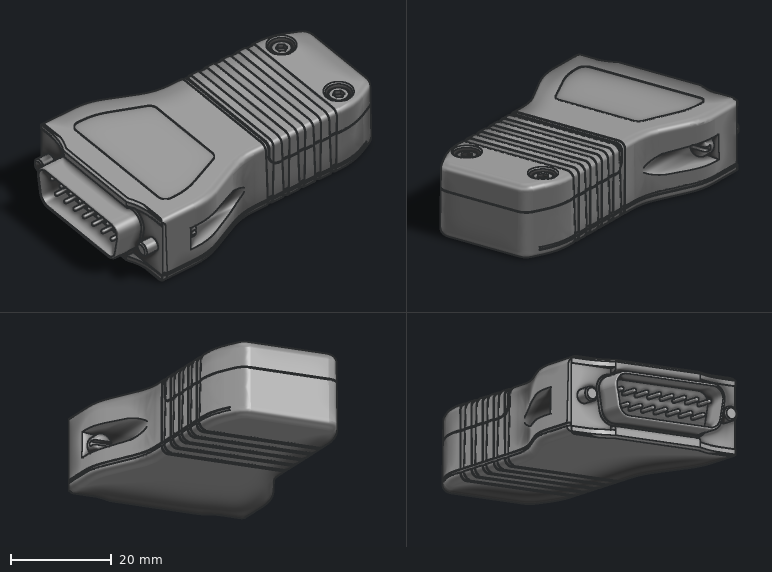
import cadquery as cq
import math

LENGTH = 66.4
HEIGHT = 16.0
TOP = HEIGHT / 2
HEAD_WIDTH = 40.0
HEAD_HALF_WIDTH = HEAD_WIDTH / 2
NECK_HALF_WIDTH = 14.1
BACK_HALF_WIDTH = 10.5
HEAD_SHOULDER_Y = 17.5
NECK_SHOULDER_Y = 30.25
BACK_SHOULDER_Y = 59.0
SHOULDER_RADIUS = 15.25
BACK_RADIUS = 3.0
EDGE_RADIUS = 1.6
DRAFT_ANGLE = 0.8

FACE_Y = 6.1
FACE_CHAMFER_WIDTH = 0.45
FACE_CHAMFER_LENGTH = 0.8
LIP_SIDE_Y = 5.9
LIP_CENTRE_Y = 4.3
LIP_HALF_WIDTH = 10.1
LIP_CURVE_HALF_WIDTH = 16.45
LIP_THICKNESS = 1.6
LIP_CENTRE_THICKNESS = 2.6
LIP_CHAMFER = 0.5
LIP_UNDERSIDE_RADIUS = 0.9
LIP_ROOT = 1.3

GRIP_DEPTH = 0.2
COVER_SEAM_Z = -6.0
COVER_SEAM_WIDTH = 0.65
COVER_SEAM_DEPTH = 0.4
COVER_SEAM_END_Y = 63.4
GRIP_COUNT = 5
GRIP_PITCH = 4.0
GRIP_FIRST_Y = 53.5
GRIP_TOP_WIDTH = 2.0
GRIP_BOTTOM_WIDTH = 1.2
LID_SEAM_Y = 37.5
LID_SEAM_Z = 2.25
LID_SEAM_RADIUS = 2.4
LID_SEAM_WIDTH = 0.2
LID_SEAM_DEPTH = 0.4

LABEL_DEPTH = 0.2
LABEL_FRONT_Y = 9.9
LABEL_SHOULDER_Y = 15.65
LABEL_BACK_Y = 26.9
LABEL_HALF_WIDTH = 15.05
LABEL_BACK_HALF_WIDTH = 10.15
LABEL_CORNER_RADIUS = 1.85
LABEL_SHOULDER_RADIUS = 14.6

CAP_X = 9.2
CAP_Y = 58.5
CAP_HOLE_DIAMETER = 5.45
CAP_HOLE_CHAMFER = 0.3
CAP_HOLE_CHAMFER_ANGLE = 45.0
CAP_HOLE_DEPTH = 2.0
CAP_DIAMETER = 4.5
CAP_RECESS = 0.65
CAP_CHAMFER = 0.25
HEX_CORNER_DIAMETER = 2.4
HEX_DEPTH = 1.0

JACK_X = 16.6
JACK_DIAMETER = 3.0
JACK_TIP_Y = 3.0
JACK_TIP_CHAMFER = 0.3
JACK_HEAD_DIAMETER = 4.4
JACK_HEAD_LENGTH = 2.7
JACK_HEAD_RADIUS = 0.8
JACK_SLOT_WIDTH = 1.0
JACK_SLOT_DEPTH = 1.5
POCKET_FRONT_Y = 12.9
POCKET_BACK_Y = 33.2
POCKET_RADIUS = 2.4
POCKET_MOUTH_HALF_HEIGHT = 2.7

SHELL_HALF_WIDTH = 13.15
SHELL_HEIGHT = 9.55
SHELL_SLANT = 10.0
SHELL_RADIUS = 2.85
SHELL_WALL = 0.5
SHELL_FLOOR_Y = 5.45
SHELL_TIP_RADIUS = 0.25
FLARE = 0.4
FLARE_LENGTH = 0.4
FLARE_BEVEL = 0.3

PIN_DIAMETER = 0.85
PIN_PITCH = 3.0
PIN_ROW_SPACING = 2.9
PIN_TIP_Y = 1.3
PIN_TIP_RADIUS = 0.3
UPPER_PINS = 8
LOWER_PINS = 7


def rounded_outline(corners, plane="XY"):
    """Closed outline through (x, y, radius) corners, each rounded by a tangent arc."""
    outline = None
    for i, (x, y, radius) in enumerate(corners):
        here = cq.Vector(x, y)
        before = (cq.Vector(*corners[i - 1][:2]) - here).normalized()
        after = (cq.Vector(*corners[(i + 1) % len(corners)][:2]) - here).normalized()
        half_angle = before.getAngle(after) / 2
        start = here + before * (radius / math.tan(half_angle))
        end = here + after * (radius / math.tan(half_angle))
        bisector = (before + after).normalized()
        middle = here + bisector * (radius / math.sin(half_angle) - radius)
        points = [(p.x, p.y) for p in (start, middle, end)]
        if outline is None:
            outline = cq.Workplane(plane).moveTo(*points[0])
        else:
            outline = outline.lineTo(*points[0])
        if radius > 0:
            outline = outline.threePointArc(points[1], points[2])
    return outline.close()


def mirrored(right_half):
    """Add the X-mirrored corners to a right half listed from front to back."""
    return right_half + [(-x, y, r) for x, y, r in reversed(right_half)]


def block(x_size, y_range, z_range):
    """Box centred on X that spans the given Y and Z ranges."""
    return cq.Workplane("XY").box(
        x_size, y_range[1] - y_range[0], z_range[1] - z_range[0], centered=(True, False, False)
    ).translate((0, y_range[0], z_range[0]))


def y_cylinder(diameter, start, end, x=0.0, z=0.0):
    """Cylinder along Y from start to end."""
    return cq.Workplane("XZ", origin=(x, start, z)).circle(diameter / 2).extrude(start - end)


def hood_blank(inset):
    """Rounded hood body with its whole skin moved inward by inset."""
    corners = mirrored([
        (HEAD_HALF_WIDTH - inset, 0.0, 0.0),
        (HEAD_HALF_WIDTH - inset, HEAD_SHOULDER_Y, SHOULDER_RADIUS - inset),
        (NECK_HALF_WIDTH - inset, NECK_SHOULDER_Y, SHOULDER_RADIUS + inset),
        (NECK_HALF_WIDTH - inset, BACK_SHOULDER_Y, SHOULDER_RADIUS - inset),
        (BACK_HALF_WIDTH - inset, LENGTH - inset, BACK_RADIUS),
    ])
    reach = TOP - inset
    upper = rounded_outline(corners).extrude(reach - COVER_SEAM_Z, taper=DRAFT_ANGLE)
    lower = rounded_outline(corners).extrude(-reach - COVER_SEAM_Z, taper=DRAFT_ANGLE)
    upper = upper.faces(">Z").edges().fillet(EDGE_RADIUS - inset)
    lower = lower.faces("<Z").edges().fillet(EDGE_RADIUS - inset)
    return upper.union(lower).translate((0, 0, COVER_SEAM_Z))


def lip_arc_middle():
    """Middle of the arc that leaves the straight lip side tangentially towards the bulge."""
    run = LIP_CURVE_HALF_WIDTH - LIP_HALF_WIDTH
    drop = LIP_SIDE_Y - LIP_CENTRE_Y
    radius = (run**2 + drop**2) / (2 * drop)
    half_angle = math.asin(run / radius) / 2
    return (
        LIP_CURVE_HALF_WIDTH - radius * math.sin(half_angle),
        LIP_SIDE_Y - radius * (1 - math.cos(half_angle)),
    )


def lip():
    """Lip along the upper front edge: thin at the sides, bulging and thicker in the middle."""
    corner_x = HEAD_HALF_WIDTH - FACE_CHAMFER_WIDTH
    root_y = FACE_Y + LIP_ROOT
    arc_middle_x, arc_middle_y = lip_arc_middle()
    shelf = (
        cq.Workplane("XY", origin=(0, 0, TOP))
        .moveTo(-corner_x, LIP_SIDE_Y)
        .lineTo(-LIP_CURVE_HALF_WIDTH, LIP_SIDE_Y)
        .threePointArc((-arc_middle_x, arc_middle_y), (-LIP_HALF_WIDTH, LIP_CENTRE_Y))
        .lineTo(LIP_HALF_WIDTH, LIP_CENTRE_Y)
        .threePointArc((arc_middle_x, arc_middle_y), (LIP_CURVE_HALF_WIDTH, LIP_SIDE_Y))
        .lineTo(corner_x, LIP_SIDE_Y)
        .lineTo(corner_x, root_y)
        .lineTo(-corner_x, root_y)
        .close()
        .extrude(-LIP_THICKNESS)
    )
    front_rim = cq.selectors.BoxSelector(
        (-HEAD_HALF_WIDTH, 0, TOP - LIP_CHAMFER), (HEAD_HALF_WIDTH, FACE_Y, TOP + LIP_CHAMFER)
    )
    shelf = shelf.faces(">Z").edges(front_rim).chamfer(LIP_CHAMFER)
    middle = block(
        2 * LIP_HALF_WIDTH,
        (LIP_CENTRE_Y, root_y),
        (TOP - LIP_CENTRE_THICKNESS, TOP - LIP_THICKNESS),
    )
    middle = middle.faces("<Y").edges("<Z").fillet(LIP_UNDERSIDE_RADIUS)
    return shelf.union(middle)


def front_mask():
    """Space that the hood may fill: everything behind the front face, plus both lips."""
    behind_face = mirrored([
        (HEAD_HALF_WIDTH - FACE_CHAMFER_WIDTH, FACE_Y, 0.0),
        (HEAD_HALF_WIDTH, FACE_Y + FACE_CHAMFER_LENGTH, 0.0),
        (HEAD_HALF_WIDTH, LENGTH, 0.0),
    ])
    mask = rounded_outline(behind_face).extrude(TOP, both=True)
    upper_lip = lip()
    return mask.union(upper_lip).union(upper_lip.mirror("XY"))


def grip_grooves():
    """Cutters across the neck, narrowing towards the underside."""
    cutters = cq.Workplane("YZ")
    for i in range(GRIP_COUNT):
        y = GRIP_FIRST_Y - i * GRIP_PITCH
        cutters = cutters.add(
            cq.Workplane("YZ")
            .polyline([
                (y - GRIP_TOP_WIDTH / 2, TOP),
                (y + GRIP_TOP_WIDTH / 2, TOP),
                (y + GRIP_BOTTOM_WIDTH / 2, -TOP),
                (y - GRIP_BOTTOM_WIDTH / 2, -TOP),
            ])
            .close()
            .extrude(HEAD_HALF_WIDTH, both=True)
        )
    return cutters.combine()


def lid_profile(offset):
    """Side outline of the lid, grown by offset, as a prism across the hood."""
    front = LID_SEAM_Y - offset
    bottom = LID_SEAM_Z - offset
    return rounded_outline([
        (front, bottom, LID_SEAM_RADIUS + offset),
        (2 * LENGTH, bottom, 0.0),
        (2 * LENGTH, TOP, 0.0),
        (front, TOP, 0.0),
    ], "YZ").extrude(HEAD_HALF_WIDTH, both=True)


def lid_seam():
    """Ribbon that follows the edge of the lid across the hood."""
    half_width = LID_SEAM_WIDTH / 2
    return lid_profile(half_width).cut(lid_profile(-half_width))


def cover_seam():
    """Band around the hood where the bottom cover meets it."""
    half_width = COVER_SEAM_WIDTH / 2
    slab = block(
        2 * HEAD_WIDTH,
        (0, COVER_SEAM_END_Y),
        (COVER_SEAM_Z - half_width, COVER_SEAM_Z + half_width),
    )
    return slab.cut(hood_blank(COVER_SEAM_DEPTH))


def label_recess():
    """Shallow recess for a label on the top of the head."""
    corners = mirrored([
        (LABEL_HALF_WIDTH, LABEL_FRONT_Y, LABEL_CORNER_RADIUS),
        (LABEL_HALF_WIDTH, LABEL_SHOULDER_Y, LABEL_SHOULDER_RADIUS),
        (LABEL_BACK_HALF_WIDTH, LABEL_BACK_Y, LABEL_CORNER_RADIUS),
    ])
    return rounded_outline(corners).extrude(-LABEL_DEPTH).translate((0, 0, TOP))


def cap_screw_hole():
    """Chamfered hole in the lid around one cap screw."""
    hole = cq.Workplane("XY").circle(CAP_HOLE_DIAMETER / 2).extrude(-CAP_HOLE_DEPTH)
    flare = (
        cq.Workplane("XY")
        .circle(CAP_HOLE_DIAMETER / 2 + CAP_HOLE_CHAMFER)
        .extrude(-CAP_HOLE_CHAMFER, taper=CAP_HOLE_CHAMFER_ANGLE)
    )
    return hole.union(flare)


def cap_screw():
    """Head of one cap screw with its hexagon socket."""
    head = (
        cq.Workplane("XY", origin=(0, 0, -CAP_HOLE_DEPTH))
        .circle(CAP_DIAMETER / 2)
        .extrude(CAP_HOLE_DEPTH - CAP_RECESS)
    )
    head = head.faces(">Z").edges().chamfer(CAP_CHAMFER)
    return head.faces(">Z").workplane().polygon(6, HEX_CORNER_DIAMETER).cutBlind(-HEX_DEPTH)


def side_pocket():
    """Round-bottomed pocket on the +X side, open outwards, around a jack screw head."""
    mouth_x = HEAD_HALF_WIDTH - JACK_X
    length = POCKET_BACK_Y - POCKET_FRONT_Y
    return (
        cq.Workplane("XZ", origin=(JACK_X, POCKET_FRONT_Y, 0))
        .moveTo(0, POCKET_RADIUS)
        .threePointArc((-POCKET_RADIUS, 0), (0, -POCKET_RADIUS))
        .lineTo(mouth_x, -POCKET_MOUTH_HALF_HEIGHT)
        .lineTo(mouth_x, POCKET_MOUTH_HALF_HEIGHT)
        .close()
        .extrude(-length)
    )


def jack_screw():
    """Jack screw on the +X side: slotted head in the pocket, tip in front of the face."""
    shaft = y_cylinder(JACK_DIAMETER, JACK_TIP_Y, POCKET_FRONT_Y, JACK_X)
    shaft = shaft.faces("<Y").edges().chamfer(JACK_TIP_CHAMFER)
    head_end = POCKET_FRONT_Y + JACK_HEAD_LENGTH
    head = y_cylinder(JACK_HEAD_DIAMETER, POCKET_FRONT_Y, head_end, JACK_X)
    head = head.faces(">Y").edges().fillet(JACK_HEAD_RADIUS)
    slot = block(
        2 * HEAD_WIDTH,
        (head_end - JACK_SLOT_DEPTH, head_end),
        (-JACK_SLOT_WIDTH / 2, JACK_SLOT_WIDTH / 2),
    )
    return shaft.union(head.cut(slot))


def shell_prism(inset, start, end):
    """D-shaped prism along Y, its outline moved inward by inset."""
    half_height = SHELL_HEIGHT / 2 - inset
    slant = math.radians(SHELL_SLANT)
    radius = SHELL_RADIUS - inset
    rounding_gap = radius * (1 / math.cos(slant) - 1 + math.tan(slant))
    upper_x = SHELL_HALF_WIDTH - inset + rounding_gap
    lower_x = upper_x - 2 * half_height * math.tan(slant)
    outline = rounded_outline([
        (upper_x, half_height, radius),
        (-upper_x, half_height, radius),
        (-lower_x, -half_height, radius),
        (lower_x, -half_height, radius),
    ], "XZ")
    return outline.extrude(start - end).translate((0, start, 0))


def plug_shell():
    """Hollow plug shell with a rounded rim and a flared root."""
    shell = shell_prism(0.0, 0.0, FACE_Y).faces("<Y").edges().fillet(SHELL_TIP_RADIUS)
    root = shell_prism(-FLARE, FACE_Y - FLARE_LENGTH, FACE_Y)
    root = root.faces("<Y").edges().chamfer(FLARE_BEVEL)
    return shell.union(root).cut(shell_prism(SHELL_WALL, 0.0, SHELL_FLOOR_Y))


def contact_pins():
    """Two staggered rows of contact pins standing on the shell floor."""
    pins = cq.Workplane("XY")
    for count, z in ((UPPER_PINS, PIN_ROW_SPACING / 2), (LOWER_PINS, -PIN_ROW_SPACING / 2)):
        for i in range(count):
            x = (i - (count - 1) / 2) * PIN_PITCH
            pin = y_cylinder(PIN_DIAMETER, PIN_TIP_Y, FACE_Y, x, z)
            pins = pins.add(pin.faces("<Y").edges().fillet(PIN_TIP_RADIUS))
    return pins.combine()


hood = hood_blank(0.0)
grip_skin = hood.cut(hood_blank(GRIP_DEPTH))
seam_skin = hood.cut(hood_blank(LID_SEAM_DEPTH))
hood = hood.intersect(front_mask())
hood = hood.cut(grip_grooves().intersect(grip_skin))
hood = hood.cut(lid_seam().intersect(seam_skin))
hood = hood.cut(cover_seam()).cut(label_recess())

for x in (-CAP_X, CAP_X):
    place = (x, CAP_Y, TOP)
    hood = hood.cut(cap_screw_hole().translate(place)).union(cap_screw().translate(place))

pocket = side_pocket()
jack = jack_screw()
for cutter, screw in ((pocket, jack), (pocket.mirror("YZ"), jack.mirror("YZ"))):
    hood = hood.cut(cutter).union(screw)

result = hood.union(plug_shell()).union(contact_pins())